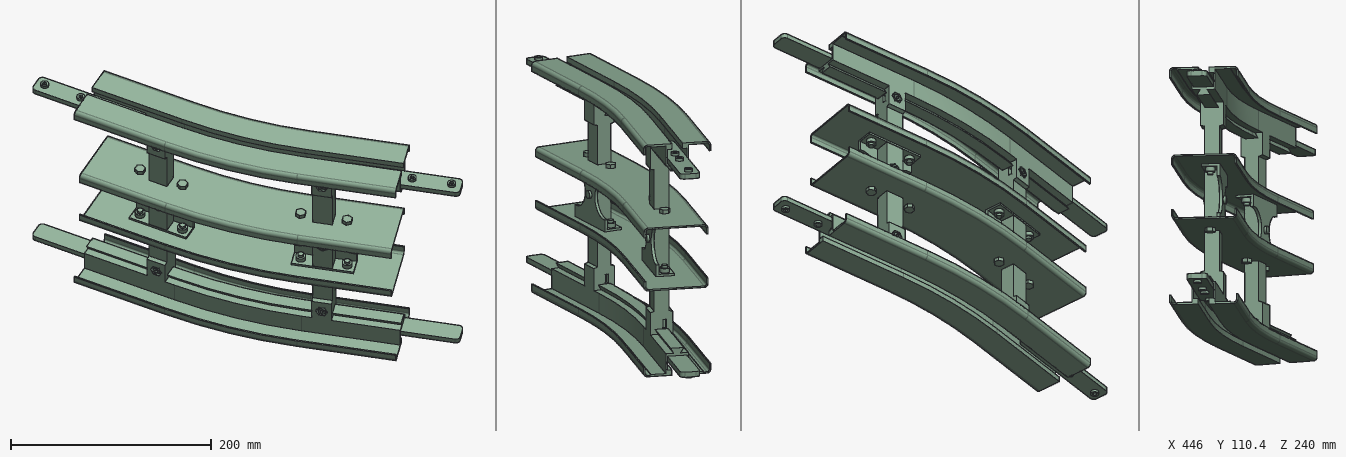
import cadquery as cq
import math


STRAIGHT = 100.5
BEND_RADIUS = 500.0
BEND_ANGLE = 15
BEND_CENTRE = (STRAIGHT, BEND_RADIUS)

PLATE = 1.55
FLANGE_DROP = 10.0
OUTER_BEND = 4.0
INNER_BEND = OUTER_BEND - PLATE

TRACK_TOP = 120.0
TRACK_WIDTH = 68.5
TRACK_THICK_WIDTH = 53.5
TRACK_THICK_PLATE = 2.2
BODY_WIDTH = 23.0
BODY_DEPTH = 22.7
SLOT_WIDTH = 10.5
LIP_DEPTH = 6.0
DOVETAIL_DEPTH = 5.5
DOVETAIL_TIP = 13.5
DOVETAIL_ROOT = 7.0
BODY_BOTTOM = TRACK_TOP - BODY_DEPTH

BAR_LENGTH = 119.5
BAR_WIDTH = 20.0
BAR_THICKNESS = 5.5
BAR_CORNER = 4.5
BAR_TOP = TRACK_TOP - 14.5
BAR_BOTTOM = BAR_TOP - BAR_THICKNESS
BAR_SCREW_INSETS = (10.0, 50.0)
BAR_SCREW_DIAMETER = 8.0
BAR_SCREW_HEIGHT = 2.5
BAR_SOCKET = 4.5

RAIL_TOP = 32.5
RAIL_WIDTH = 65.0
RAIL_INSET = 5.0

POST_STATION = 80.0
POST_WIDTH = 20.0
POST_DEPTH = 15.0
COLLAR_HEIGHT = 24.0
COLLAR_CHAMFER_Z = 1.5
COLLAR_BOTTOM = BODY_BOTTOM - COLLAR_HEIGHT
FASTENER_Z = TRACK_TOP - 33.0
NUT_SLOT_CENTRE_Y = -3.0
NUT_SLOT_WIDTH = 3.5
NUT_SLOT_HEIGHT = 9.5
NUT_SLOT_DEPTH = 4.5

HEX_CORNERS = 12.0
HEX_POCKET_DEPTH = 3.5
STUD_DIAMETER = 7.0
STUD_BORE = 3.0
STUD_BORE_DEPTH = 2.2
STUD_PROUD = 1.5
BACK_HEAD_DIAMETER = 8.0
BACK_HEAD_HEIGHT = 2.5

BRACKET_HALF_WIDTH = 31.5
BRACKET_WAIST_HALF = 10.3
BRACKET_ARC = 18.7
BRACKET_PLATE = 3.0
PAD_THICKNESS = 2.2
PAD_FRONT_Y = -8.0
BRACKET_BACK_Y = POST_DEPTH / 2 + BRACKET_PLATE
PAD_TOP = RAIL_TOP - PLATE
PAD_BOTTOM = PAD_TOP - PAD_THICKNESS

BOLT_OFFSET = 23.5
BOLT_HEAD_CORNERS = 10.5
BOLT_HEAD_HEIGHT = 4.0
BOLT_NUT_DIAMETER = 10.0
BOLT_NUT_HEIGHT = 4.5
BOLT_DIAMETER = 6.0
BOLT_TIP_LENGTH = 2.5


def box(x_range, y_range, z_range):
    """Box between pairs of limits."""
    sizes = [high - low for low, high in (x_range, y_range, z_range)]
    corner = (x_range[0], y_range[0], z_range[0])
    return cq.Workplane("XY").box(*sizes, centered=False).translate(corner)


def cylinder(x, z_low, z_high, diameter):
    """Upright cylinder on the centreline."""
    return cq.Workplane("XY", origin=(x, 0, z_low)).circle(diameter / 2).extrude(z_high - z_low)


def turn(shape):
    """Carry a shape from the straight run to the run after the bend."""
    return shape.rotate((*BEND_CENTRE, 0), (*BEND_CENTRE, 1), BEND_ANGLE)


def follow_centreline(section, inset=0.0):
    """Run a YZ cross-section along the whole centreline, shortened at both ends."""
    length = STRAIGHT - inset
    first = section(inset).extrude(length)
    bend = section(STRAIGHT).revolve(BEND_ANGLE, (BEND_RADIUS, 0, 0), (BEND_RADIUS, 1, 0))
    last = turn(section(STRAIGHT).extrude(length))
    return first.union(bend).union(last)


def sheet_section(x, width, top):
    """Flat plate with a rounded, downturned flange on each side."""
    half = width / 2
    inner = half - PLATE
    under = top - PLATE
    low = top - FLANGE_DROP
    outer_mid = OUTER_BEND * (1 - math.sqrt(0.5))
    inner_mid = INNER_BEND * (1 - math.sqrt(0.5))
    return (
        cq.Workplane("YZ", origin=(x, 0, 0))
        .moveTo(-half, low)
        .lineTo(-half, top - OUTER_BEND)
        .threePointArc((-half + outer_mid, top - outer_mid), (-half + OUTER_BEND, top))
        .lineTo(half - OUTER_BEND, top)
        .threePointArc((half - outer_mid, top - outer_mid), (half, top - OUTER_BEND))
        .lineTo(half, low)
        .lineTo(inner, low)
        .lineTo(inner, under - INNER_BEND)
        .threePointArc((inner - inner_mid, under - inner_mid), (inner - INNER_BEND, under))
        .lineTo(-inner + INNER_BEND, under)
        .threePointArc((-inner + inner_mid, under - inner_mid), (-inner, under - INNER_BEND))
        .lineTo(-inner, low)
        .close()
    )


def rectangle_section(x, width, low, high):
    """Rectangle centred on the centreline."""
    return cq.Workplane("YZ", origin=(x, 0, (low + high) / 2)).rect(width, high - low)


def dovetail_section(x):
    """Clamping dovetail that widens away from the track body."""
    tip_z = BODY_BOTTOM - DOVETAIL_DEPTH
    return cq.Workplane("YZ", origin=(x, 0, 0)).polyline([
        (-DOVETAIL_ROOT / 2, BODY_BOTTOM),
        (DOVETAIL_ROOT / 2, BODY_BOTTOM),
        (DOVETAIL_TIP / 2, tip_z),
        (-DOVETAIL_TIP / 2, tip_z),
    ]).close()


def make_track():
    """Flanged plate, thicker in the middle, on a slotted channel with a dovetail underneath."""
    plate = follow_centreline(lambda x: sheet_section(x, TRACK_WIDTH, TRACK_TOP))
    thick_band = follow_centreline(
        lambda x: rectangle_section(x, TRACK_THICK_WIDTH, TRACK_TOP - TRACK_THICK_PLATE, TRACK_TOP))
    body = follow_centreline(lambda x: rectangle_section(x, BODY_WIDTH, BODY_BOTTOM, TRACK_TOP))
    cavity = follow_centreline(
        lambda x: rectangle_section(x, BAR_WIDTH, BAR_BOTTOM, TRACK_TOP - LIP_DEPTH))
    slot = follow_centreline(lambda x: rectangle_section(x, SLOT_WIDTH, BAR_TOP, TRACK_TOP))
    dovetail = follow_centreline(dovetail_section)
    return plate.union(thick_band).union(body).cut(cavity).cut(slot).union(dovetail)


def make_bar(x_centre):
    """Joining bar with rounded corners and four socket screws."""
    bar = (
        cq.Workplane("XY", origin=(x_centre, 0, BAR_BOTTOM))
        .rect(BAR_LENGTH, BAR_WIDTH)
        .extrude(BAR_THICKNESS)
        .edges("|Z")
        .fillet(BAR_CORNER)
    )
    head_top = BAR_TOP + BAR_SCREW_HEIGHT
    for side in (-1, 1):
        for inset in BAR_SCREW_INSETS:
            x = x_centre + side * (BAR_LENGTH / 2 - inset)
            socket = cq.Workplane("XY", origin=(x, 0, BAR_TOP)).polygon(6, BAR_SOCKET)
            bar = bar.union(cylinder(x, BAR_TOP, head_top, BAR_SCREW_DIAMETER))
            bar = bar.cut(socket.extrude(BAR_SCREW_HEIGHT))
    return bar


def add_front_fastener(post, x, z, face_y, stud_proud, hex_turn):
    """Hexagonal pocket in a front face, with a bored stud standing in it."""
    front = cq.Plane(origin=(x, face_y, z), xDir=(1, 0, 0), normal=(0, -1, 0))
    hex_plane = front.rotated((0, 0, hex_turn))
    pocket = cq.Workplane(hex_plane).polygon(6, HEX_CORNERS).extrude(-HEX_POCKET_DEPTH)
    stud = (
        cq.Workplane(front)
        .workplane(offset=-HEX_POCKET_DEPTH)
        .circle(STUD_DIAMETER / 2)
        .extrude(HEX_POCKET_DEPTH + stud_proud)
        .faces("<Y")
        .workplane()
        .hole(STUD_BORE, STUD_BORE_DEPTH)
    )
    return post.cut(pocket).union(stud)


def make_post(x):
    """Upper half of a post, with its collar clamped on the dovetail."""
    x_range = (x - POST_WIDTH / 2, x + POST_WIDTH / 2)
    post = box(x_range, (-POST_DEPTH / 2, POST_DEPTH / 2), (0, BODY_BOTTOM))
    half_collar = BODY_WIDTH / 2
    collar = (
        cq.Workplane("YZ", origin=(x_range[0], 0, 0))
        .polyline([
            (-half_collar, BODY_BOTTOM),
            (-half_collar, COLLAR_BOTTOM + COLLAR_CHAMFER_Z),
            (-POST_DEPTH / 2, COLLAR_BOTTOM),
            (POST_DEPTH / 2, COLLAR_BOTTOM),
            (half_collar, COLLAR_BOTTOM + COLLAR_CHAMFER_Z),
            (half_collar, BODY_BOTTOM),
        ])
        .close()
        .extrude(POST_WIDTH)
    )
    nut_slot = box(
        (x_range[0], x_range[0] + NUT_SLOT_DEPTH),
        (NUT_SLOT_CENTRE_Y - NUT_SLOT_WIDTH / 2, NUT_SLOT_CENTRE_Y + NUT_SLOT_WIDTH / 2),
        (FASTENER_Z - NUT_SLOT_HEIGHT / 2, FASTENER_Z + NUT_SLOT_HEIGHT / 2),
    )
    post = post.union(collar).cut(nut_slot)
    return add_front_fastener(post, x, FASTENER_Z, -half_collar, 0, 0)


def make_bracket(x):
    """Upper half of the waisted bracket: back plate, pad and two rail bolts."""
    x_range = (x - BRACKET_HALF_WIDTH, x + BRACKET_HALF_WIDTH)
    bracket = box(x_range, (POST_DEPTH / 2, BRACKET_BACK_Y), (0, PAD_TOP))
    for side in (-1, 1):
        arc_x = x + side * (BRACKET_WAIST_HALF + BRACKET_ARC)
        edge_x = x + side * BRACKET_HALF_WIDTH
        waist = cq.Workplane("XZ", origin=(arc_x, 0, 0)).circle(BRACKET_ARC).extrude(-BRACKET_BACK_Y)
        end_relief = box(sorted((arc_x, edge_x)), (0, BRACKET_BACK_Y), (0, BRACKET_ARC))
        bracket = bracket.cut(waist).cut(end_relief)
    bracket = bracket.union(box(x_range, (PAD_FRONT_Y, BRACKET_BACK_Y), (PAD_BOTTOM, PAD_TOP)))
    nut_bottom = PAD_BOTTOM - BOLT_NUT_HEIGHT
    for side in (-1, 1):
        bolt_x = x + side * BOLT_OFFSET
        head_plane = cq.Plane(origin=(bolt_x, 0, RAIL_TOP), xDir=(0, 1, 0), normal=(0, 0, 1))
        head = cq.Workplane(head_plane).polygon(6, BOLT_HEAD_CORNERS).extrude(BOLT_HEAD_HEIGHT)
        nut = cylinder(bolt_x, nut_bottom, PAD_BOTTOM, BOLT_NUT_DIAMETER)
        shank = cylinder(bolt_x, nut_bottom - BOLT_TIP_LENGTH, RAIL_TOP, BOLT_DIAMETER)
        bracket = bracket.union(shank).union(nut).union(head)
    return bracket


def add_middle_fastener(post, x):
    """Bolt through the post and the bracket at mid height."""
    post = add_front_fastener(post, x, 0, -POST_DEPTH / 2, STUD_PROUD, 90)
    head = (
        cq.Workplane("XZ", origin=(x, BRACKET_BACK_Y, 0))
        .circle(BACK_HEAD_DIAMETER / 2)
        .extrude(-BACK_HEAD_HEIGHT)
    )
    return post.union(head)


def mirror_down(upper):
    """Add the reflection below Z = 0."""
    return upper.union(upper.mirror("XY"))


def make_support(x):
    """Complete post with its bracket and fasteners."""
    return add_middle_fastener(mirror_down(make_post(x).union(make_bracket(x))), x)


far_end = 2 * STRAIGHT
rail = follow_centreline(lambda x: sheet_section(x, RAIL_WIDTH, RAIL_TOP), RAIL_INSET)
upper_half = make_track().union(rail).union(make_bar(0)).union(turn(make_bar(far_end)))

result = (
    mirror_down(upper_half)
    .union(make_support(POST_STATION))
    .union(turn(make_support(far_end - POST_STATION)))
)